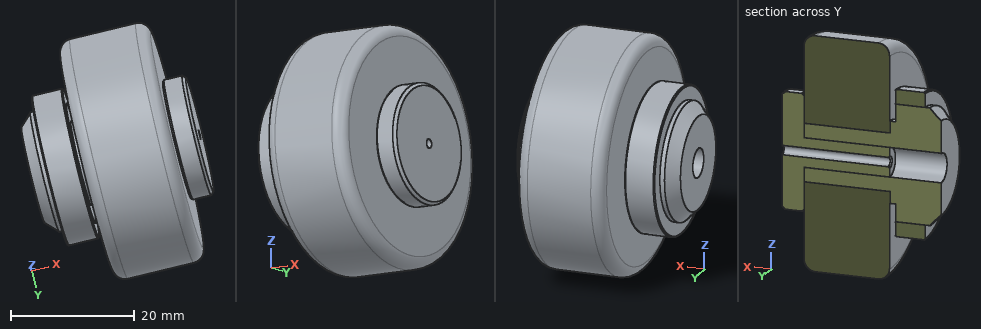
import cadquery as cq


ring_start = 2.8
ring_width = 5.2
ring_end = ring_start + ring_width
wheel_gap = 1.0
wheel_start = ring_end + wheel_gap
wheel_width = 15.0
wheel_end = wheel_start + wheel_width
collar_width = 3.8
collar_end = wheel_end + collar_width

head_diameter = 20.0
head_chamfer = 2.0
ring_diameter = 25.0
ring_chamfer = 0.2
shoulder_diameter = 14.0
journal_diameter = 10.0
wheel_diameter = 40.0
wheel_edge_radius = 2.0
collar_diameter = 20.0
collar_inner_chamfer = 0.3
collar_outer_chamfer = 0.5

axle_hole_diameter = 4.92
stem_start = wheel_start

bore_diameter = 1.5
countersink_diameter = 2.0
countersink_depth = (countersink_diameter - bore_diameter) / 2


def cylinder(diameter, start, end):
    """Solid cylinder on the X axis between two X positions."""
    return cq.Workplane("YZ", origin=(start, 0, 0)).circle(diameter / 2).extrude(end - start)


def make_axle():
    """Head, shoulder and journal in one piece, with a hole right through."""
    head = cylinder(head_diameter, 0, ring_end).faces("<X").chamfer(head_chamfer)
    shoulder = cylinder(shoulder_diameter, ring_end, wheel_start)
    journal = cylinder(journal_diameter, wheel_start, wheel_end)
    body = head.union(shoulder).union(journal)
    return body.cut(cylinder(axle_hole_diameter, 0, wheel_end))


def make_slip_ring():
    """Flat ring around the axle head, with both rims chamfered."""
    blank = cylinder(ring_diameter, ring_start, ring_end).faces("<X or >X").chamfer(ring_chamfer)
    return blank.cut(cylinder(head_diameter, ring_start, ring_end))


def make_wheel():
    """Wheel with rounded tread edges, running on the journal."""
    blank = cylinder(wheel_diameter, wheel_start, wheel_end)
    blank = blank.faces("<X or >X").edges().fillet(wheel_edge_radius)
    return blank.cut(cylinder(journal_diameter, wheel_start, wheel_end))


def make_countersink():
    """Cone that opens the narrow bore at the tip of the stem."""
    return (
        cq.Workplane("YZ", origin=(stem_start, 0, 0))
        .circle(countersink_diameter / 2)
        .workplane(offset=countersink_depth)
        .circle(bore_diameter / 2)
        .loft()
    )


def make_end_screw():
    """Collar against the wheel and a stem inside the axle, with a bore through both."""
    collar = cylinder(collar_diameter, wheel_end, collar_end)
    collar = collar.faces("<X").chamfer(collar_inner_chamfer)
    collar = collar.faces(">X").chamfer(collar_outer_chamfer)
    body = collar.union(cylinder(axle_hole_diameter, stem_start, wheel_end))
    body = body.cut(cylinder(bore_diameter, stem_start, collar_end))
    return body.cut(make_countersink())


axle = make_axle()
slip_ring = make_slip_ring()
wheel = make_wheel()
end_screw = make_end_screw()

result = cq.Compound.makeCompound(
    [
        *axle.solids().vals(),
        *slip_ring.solids().vals(),
        *wheel.solids().vals(),
        *end_screw.solids().vals(),
    ]
)